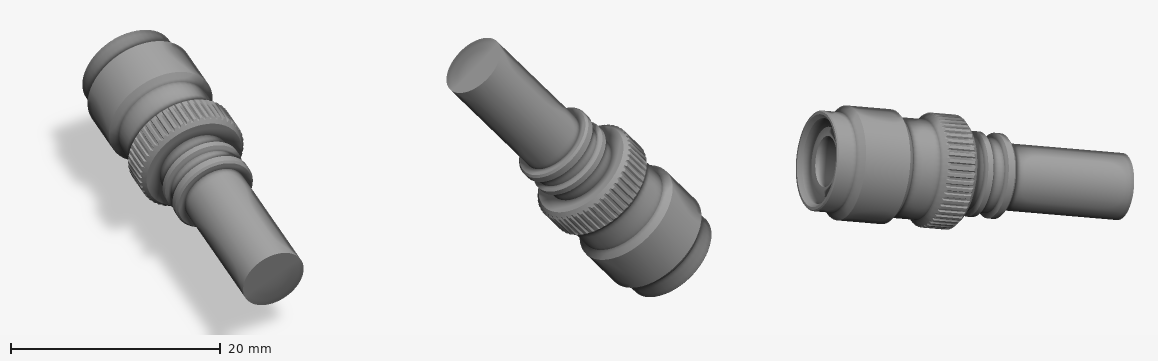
import cadquery as cq


length = 31.88
body_radius = 5.5
neck_radius = 4.82
body_step = body_radius - neck_radius

nose_chamfer = 0.12
collar_start = 1.98
collar_end = 8.0

knurl_start = 10.8
knurl_end = 14.57
knurl_rear_chamfer = 0.48
groove_count = 50
groove_depth = 0.17
groove_floor_width = 0.2
groove_mouth_width = 0.4

stem_radius = 3.62
ring_radius = 4.1
ring_flank_run = 0.25
rear_ring_chamfer = 0.2
first_ring_start = 15.9
first_ring_end = 16.95
second_ring_start = 18.05
second_ring_end = 19.17
tube_radius = 3.21

socket_floor = 8.0
mouth_radius = 4.45
mouth_depth = 0.42
socket_radius = 4.12
socket_step_depth = 4.0
socket_deep_radius = 4.03

sleeve_front = 1.0
sleeve_outer_radius = 3.33
sleeve_inner_radius = 2.45

boss_front = 5.0
boss_radius = 1.15
boss_chamfer = 0.2
pin_shoulder = 4.2
pin_radius = 0.64
tip_front = 3.4
tip_base_radius = 0.5
tip_radius = 0.17


def revolve_profile(points):
    """Turn a closed (x, radius) outline about the X axis."""
    return cq.Workplane("XY").polyline(points).close().revolve(360, (0, 0, 0), (1, 0, 0))


def first_ring_outline():
    """Stem ring with a steep cone down to the stem on both sides."""
    return [
        (first_ring_start, stem_radius),
        (first_ring_start + ring_flank_run, ring_radius),
        (first_ring_end - ring_flank_run, ring_radius),
        (first_ring_end, stem_radius),
    ]


def second_ring_outline():
    """Stem ring with a steep cone in front and a chamfered face behind, at the cable tube."""
    return [
        (second_ring_start, stem_radius),
        (second_ring_start + ring_flank_run, ring_radius),
        (second_ring_end - rear_ring_chamfer, ring_radius),
        (second_ring_end, ring_radius - rear_ring_chamfer),
        (second_ring_end, tube_radius),
    ]


def make_shell():
    outline = [
        (0, 0),
        (0, neck_radius - nose_chamfer),
        (nose_chamfer, neck_radius),
        (collar_start, neck_radius),
        (collar_start + body_step, body_radius),
        (collar_end - body_step, body_radius),
        (collar_end, neck_radius),
        (knurl_start, neck_radius),
        (knurl_start + body_step, body_radius),
        (knurl_end - knurl_rear_chamfer, body_radius),
        (knurl_end, body_radius - knurl_rear_chamfer),
        (knurl_end, stem_radius),
    ]
    outline += first_ring_outline()
    outline += second_ring_outline()
    outline += [(length, tube_radius), (length, 0)]
    return revolve_profile(outline)


def make_knurl_grooves():
    """Trapezoidal axial grooves, evenly spaced and cut into the knurled ring."""
    floor_radius = body_radius - groove_depth
    flank_slope = (groove_mouth_width - groove_floor_width) / (2 * groove_depth)
    top_radius = body_radius + groove_depth
    top_half_width = groove_floor_width / 2 + flank_slope * (top_radius - floor_radius)
    groove = (
        cq.Workplane("YZ", origin=(knurl_start, 0, 0))
        .polyline([
            (-groove_floor_width / 2, floor_radius),
            (groove_floor_width / 2, floor_radius),
            (top_half_width, top_radius),
            (-top_half_width, top_radius),
        ])
        .close()
        .extrude(knurl_end - knurl_start)
        .val()
    )
    pitch = 360 / groove_count
    return [groove.rotate((0, 0, 0), (1, 0, 0), i * pitch) for i in range(groove_count)]


def make_socket():
    return revolve_profile([
        (0, 0),
        (0, mouth_radius),
        (mouth_depth, socket_radius),
        (socket_step_depth, socket_radius),
        (socket_step_depth, socket_deep_radius),
        (socket_floor, socket_deep_radius),
        (socket_floor, 0),
    ])


def make_contact_sleeve():
    return revolve_profile([
        (sleeve_front, sleeve_inner_radius),
        (sleeve_front, sleeve_outer_radius),
        (socket_floor, sleeve_outer_radius),
        (socket_floor, sleeve_inner_radius),
    ])


def make_centre_contact():
    return revolve_profile([
        (tip_front, 0),
        (tip_front, tip_radius),
        (pin_shoulder, tip_base_radius),
        (pin_shoulder, pin_radius),
        (boss_front, pin_radius),
        (boss_front, boss_radius - boss_chamfer),
        (boss_front + boss_chamfer, boss_radius),
        (socket_floor, boss_radius),
        (socket_floor, 0),
    ])


shell = make_shell().cut(make_socket())
shell = shell.cut(cq.Workplane(cq.Compound.makeCompound(make_knurl_grooves())))
result = shell.union(make_contact_sleeve()).union(make_centre_contact())